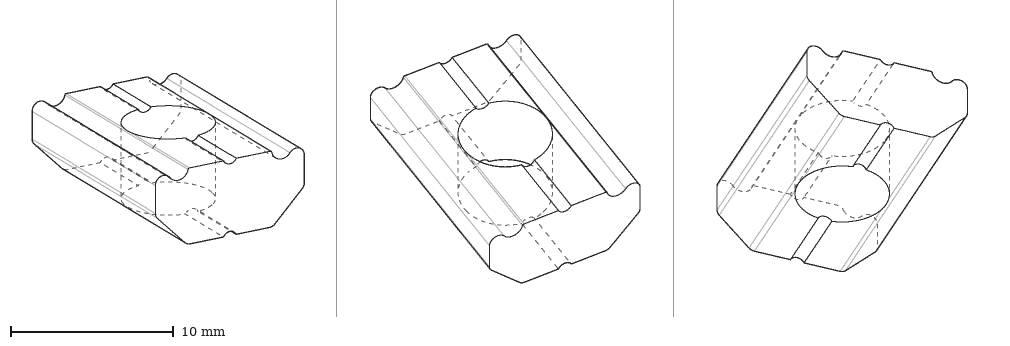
import math

import cadquery as cq

length = 15.0
width = 10.6
height = 5.0
half_width = width / 2

hole_diameter = 5.8

rib_radius = 0.57
rib_drop = 0.14
rib_y = half_width - rib_radius
rib_z = height - rib_drop - rib_radius

channel_y = 3.69
channel_rise = 0.07
channel_z = height + channel_rise
channel_radius = math.hypot(rib_y - channel_y, channel_z - rib_z) - rib_radius
channel_inner_y = channel_y - math.sqrt(channel_radius**2 - channel_rise**2)
channel_edge_radius = 0.1

groove_radius = 0.5
groove_depth = 0.28

bottom_half_width = 3.04
flank_height = half_width - bottom_half_width
flank_corner_radius = 0.5


def half_profile():
    """Section of the +Y half in the YZ plane, without grooves or corner rounds."""
    share = rib_radius / (rib_radius + channel_radius)
    meeting_point = (
        rib_y + share * (channel_y - rib_y),
        rib_z + share * (channel_z - rib_z),
    )
    return (
        cq.Workplane("YZ", origin=(-length / 2, 0, 0))
        .moveTo(0, 0)
        .lineTo(bottom_half_width, 0)
        .lineTo(half_width, flank_height)
        .lineTo(half_width, rib_z)
        .threePointArc((rib_y, rib_z + rib_radius), meeting_point)
        .threePointArc((channel_y, channel_z - channel_radius), (channel_inner_y, height))
        .lineTo(0, height)
        .close()
    )


def lengthwise_edge(body, y, z):
    """Select the edge parallel to X that passes through (y, z)."""
    return body.edges(cq.selectors.NearestToPointSelector((0, y, z)))


def make_body():
    half = half_profile().extrude(length)
    half = lengthwise_edge(half, bottom_half_width, 0).fillet(flank_corner_radius)
    half = lengthwise_edge(half, half_width, flank_height).fillet(flank_corner_radius)
    half = lengthwise_edge(half, channel_inner_y, height).fillet(channel_edge_radius)
    return half.union(half.mirror("XZ")).clean()


def groove_cutter(center_z):
    return (
        cq.Workplane("YZ", origin=(-length / 2, 0, center_z))
        .circle(groove_radius)
        .extrude(length)
    )


def hole_cutter():
    return cq.Workplane("XY").circle(hole_diameter / 2).extrude(height)


groove_offset = groove_radius - groove_depth
result = (
    make_body()
    .cut(groove_cutter(height + groove_offset))
    .cut(groove_cutter(-groove_offset))
    .cut(hole_cutter())
)